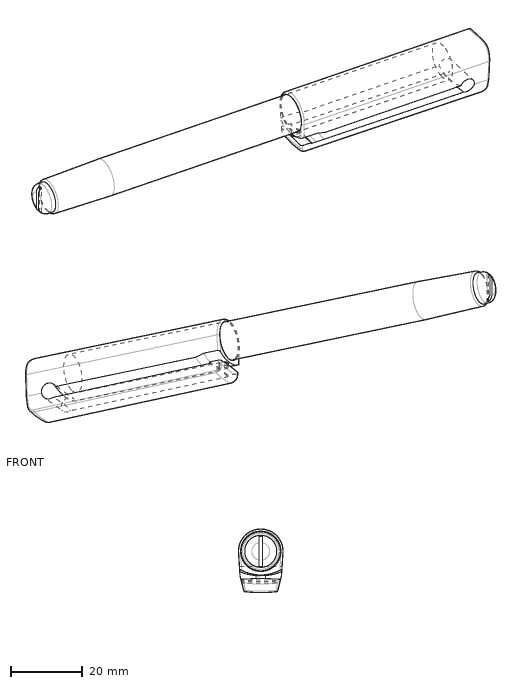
import cadquery as cq
import math


cap_length = 62.0
cap_radius = 6.3
side_draft = math.radians(3.8)
seam_z = -6.86
clip_bottom_z = -11.695
clip_bottom_half_width = 4.75
clip_bottom_crown = 0.35
clip_lift = 0.46
crown_radius = 4.0
crown_start_z = 2.9
clip_corner_radius = 2.0
rim_fillet = 0.6
bore_chamfer = 0.18

side_top_half_width = cap_radius * math.cos(side_draft)
side_top_z = -cap_radius * math.sin(side_draft)
seam_half_width = side_top_half_width - (side_top_z - seam_z) * math.tan(side_draft)

belly_edge_z = -5.76
belly_bottom_z = -6.9
clip_top_edge_z = -8.85
clip_top_crown = 0.35
gap_half_width = 7.0
hinge_hole_diameter = 4.6
hinge_hole_z = -6.55
hinge_hole_y = cap_length - 7.4

relief_edge_rise = 0.65
relief_middle_rise = 0.25
relief_length = 5.0
relief_ramp_length = 2.7

pad_rise = 0.4
pad_length = 3.4
bump_base_diameter = 3.0
bump_top_diameter = 2.6
bump_y = 1.75
bump_clearance = 0.1

pen_diameter = 11.0
pen_insertion = 50.0
pen_tip_y = -83.5
grip_length = 22.0
grip_end_diameter = 10.2
grip_end_fillet = 0.5
plug_diameter = 9.0
plug_length = 3.3
plug_fillet = 2.0
slot_width = 1.1
slot_depth = 1.0


def cap_section(bottom_lift, y):
    """Closed outline of the cap and clip across the axis at one place along it."""
    bottom_z = clip_bottom_z + bottom_lift
    corner_z = bottom_z + clip_bottom_crown
    return (
        cq.Workplane("XZ", origin=(0, y, 0))
        .moveTo(side_top_half_width, side_top_z)
        .threePointArc((0, cap_radius), (-side_top_half_width, side_top_z))
        .lineTo(-seam_half_width, seam_z)
        .lineTo(-clip_bottom_half_width, corner_z)
        .threePointArc((0, bottom_z), (clip_bottom_half_width, corner_z))
        .lineTo(seam_half_width, seam_z)
        .close()
        .val()
    )


def lift_at(y):
    """Rise of the clip at a place along the axis."""
    return clip_lift * (cap_length - y) / cap_length


def belly_height(edge_z, middle_z, x):
    """Height at x of the belly arc with the given edge and middle heights."""
    sag = edge_z - middle_z
    radius = (seam_half_width**2 + sag**2) / (2 * sag)
    return middle_z + radius - math.sqrt(radius**2 - x**2)


def gap_section(y, edge_rise, middle_rise, pad):
    """Outline of the gap: the belly arc above and the crowned top of the clip below."""
    middle_z = belly_bottom_z + middle_rise
    outer_belly_z = belly_height(belly_edge_z + edge_rise, middle_z, gap_half_width)
    floor_z = clip_top_edge_z + lift_at(y) + pad
    return (
        cq.Workplane("XZ", origin=(0, y, 0))
        .moveTo(-gap_half_width, outer_belly_z)
        .threePointArc((0, middle_z), (gap_half_width, outer_belly_z))
        .lineTo(gap_half_width, floor_z)
        .threePointArc((0, floor_z + clip_top_crown), (-gap_half_width, floor_z))
        .close()
        .val()
    )


def ruled_solid(first, second):
    return cq.Workplane(cq.Solid.makeLoft([first, second], True))


def crown_envelope():
    """Block that holds the whole cap and rounds its closed end towards the top."""
    crown_rise = cap_radius - crown_start_z
    crown_top_y = cap_length - crown_radius + math.sqrt(crown_radius**2 - crown_rise**2)
    return (
        cq.Workplane("YZ", origin=(-2 * cap_radius, 0, 0))
        .moveTo(0, 2 * clip_bottom_z)
        .lineTo(0, cap_radius)
        .lineTo(crown_top_y, cap_radius)
        .radiusArc((cap_length, crown_start_z), crown_radius)
        .lineTo(cap_length, 2 * clip_bottom_z)
        .close()
        .extrude(4 * cap_radius)
    )


def is_rim(edge):
    """True for the edges around the ends and along the clip, not for seams on smooth faces."""
    box = edge.BoundingBox()
    is_side_seam = box.ylen > cap_length / 2 and box.zmax > seam_z - rim_fillet
    spans_width = box.xmin < 0 < box.xmax
    is_cross_seam = spans_width and box.zmax < cap_radius - rim_fillet
    return not is_side_seam and not is_cross_seam


def cap_body():
    """Cap and clip as one rounded bar, before the gap and the bore are cut."""
    body = ruled_solid(cap_section(0, cap_length), cap_section(clip_lift, 0))
    body = body.intersect(crown_envelope())
    for end_face in (">Y", "<Y"):
        body = body.faces(end_face).edges("<Z").fillet(clip_corner_radius)
    rim = [edge for edge in body.edges().vals() if is_rim(edge)]
    return body.newObject(rim).fillet(rim_fillet)


def clip_gap():
    hole = (
        cq.Workplane("YZ", origin=(-2 * cap_radius, 0, 0))
        .center(hinge_hole_y, hinge_hole_z)
        .circle(hinge_hole_diameter / 2)
        .extrude(4 * cap_radius)
    )
    ramp_start = relief_length + relief_ramp_length
    no_relief = (0, 0)
    relief = (relief_edge_rise, relief_middle_rise)
    stretches = [
        (hinge_hole_y, no_relief, ramp_start, no_relief, 0),
        (ramp_start, no_relief, relief_length, relief, 0),
        (relief_length, relief, pad_length, relief, 0),
        (pad_length, relief, 0, relief, pad_rise),
    ]
    gap = hole
    for start_y, start_relief, end_y, end_relief, pad in stretches:
        start = gap_section(start_y, *start_relief, pad)
        end = gap_section(end_y, *end_relief, pad)
        gap = gap.union(ruled_solid(start, end))
    return gap


def clip_bump():
    base_z = clip_top_edge_z
    top_z = belly_bottom_z + relief_middle_rise - bump_clearance
    return cq.Workplane(
        cq.Solid.makeCone(
            bump_base_diameter / 2,
            bump_top_diameter / 2,
            top_z - base_z,
            cq.Vector(0, bump_y, base_z),
            cq.Vector(0, 0, 1),
        )
    )


def cap_bore():
    radius = pen_diameter / 2
    bore = cq.Workplane("XZ").circle(radius).extrude(-pen_insertion)
    mouth = cq.Solid.makeCone(
        radius + bore_chamfer, radius, bore_chamfer, cq.Vector(0, 0, 0), cq.Vector(0, 1, 0)
    )
    return bore.union(cq.Workplane(mouth))


def make_cap():
    return cap_body().cut(clip_gap()).union(clip_bump()).cut(cap_bore())


def make_pen():
    grip_start_y = pen_tip_y + grip_length
    grip_end_y = pen_tip_y + plug_length
    plug_radius = plug_diameter / 2
    pen = (
        cq.Workplane("XY")
        .moveTo(0, pen_insertion)
        .lineTo(pen_diameter / 2, pen_insertion)
        .lineTo(pen_diameter / 2, grip_start_y)
        .lineTo(grip_end_diameter / 2, grip_end_y + grip_end_fillet)
        .radiusArc((grip_end_diameter / 2 - grip_end_fillet, grip_end_y), grip_end_fillet)
        .lineTo(plug_radius, grip_end_y)
        .lineTo(plug_radius, pen_tip_y)
        .lineTo(0, pen_tip_y)
        .close()
        .revolve(360, (0, 0, 0), (0, 1, 0))
    )
    pen = pen.faces("<Y").edges().fillet(plug_fillet)
    slot = cq.Workplane("XY", origin=(0, pen_tip_y, 0)).box(
        slot_width, 2 * slot_depth, plug_diameter
    )
    return pen.cut(slot)


cap = make_cap()
pen = make_pen()
result = cq.Compound.makeCompound([cap.val(), pen.val()])